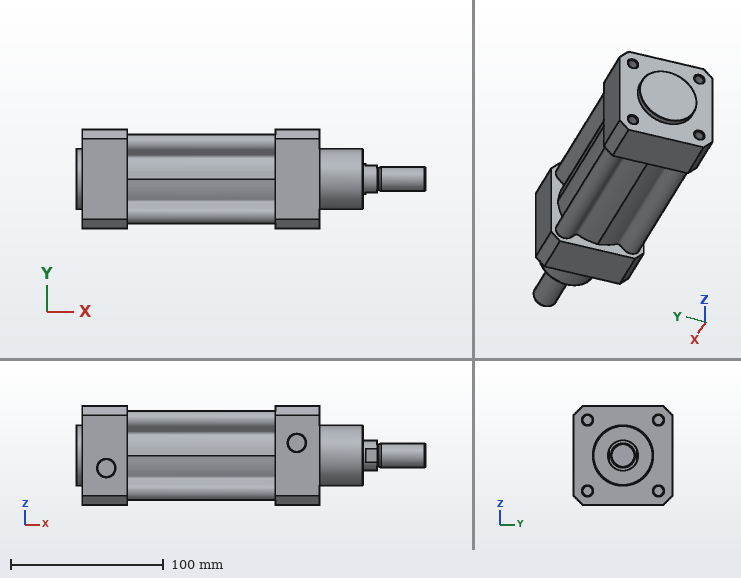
import cadquery as cq
import math


REAR_CAP_START = 4.0
REAR_CAP_END = 33.5
FRONT_CAP_START = 130.5
FRONT_CAP_END = 159.4
BOSS_END = 188.0
FLATS_START = 189.5
FLATS_END = 197.2
RELIEF_END = 198.3
THREAD_START = 199.7
ROD_END = 229.0

CAP_WIDTH = 65.0
CAP_CORNER_CHAMFER = 6.2
BOSS_RADIUS = 20.0
BOSS_CHAMFER = 0.7
SPIGOT_CHAMFER = 0.2

HOLE_SPACING = 46.5
HOLE_OFFSET = HOLE_SPACING / 2
HOLE_RADIUS = 3.2
HOLE_MOUTH_DIAMETER = 7.5
HOLE_MOUTH_RADIUS = HOLE_MOUTH_DIAMETER / 2
HOLE_LIP_DEPTH = 0.57
HOLE_DEPTH = 16.0

PORT_RADIUS = 5.7
PORT_MOUTH_RADIUS = 6.2
PORT_LIP_DEPTH = 0.7
PORT_DEPTH = 16.0
PORT_HEIGHT = 8.2
REAR_PORT_X = 19.7
FRONT_PORT_X = 144.5

BARREL_RADIUS = 27.5
RIDGE_ANGLE = 11.0
RIDGE_RADIUS = BARREL_RADIUS / math.cos(math.radians(RIDGE_ANGLE))
QUARTER = 90
LOBE_DIAMETER = 12.1
LOBE_RADIUS = LOBE_DIAMETER / 2
LOBE_FILLET = 2.0

ROD_DIAMETER = 20.0
ROD_RADIUS = ROD_DIAMETER / 2
FLATS_WIDTH = 17.9
RELIEF_RADIUS = 7.3
THREAD_RADIUS = 8.0
TIP_RADIUS = 7.3
TIP_CHAMFER_LENGTH = 1.1


def disc(start, end, radius):
    """Cylinder along X between two stations."""
    return cq.Workplane("YZ", origin=(start, 0, 0)).circle(radius).extrude(end - start)


def cap_block(start, end):
    """Square block with chamfered long corners."""
    block = cq.Workplane("YZ", origin=(start, 0, 0)).rect(CAP_WIDTH, CAP_WIDTH).extrude(end - start)
    return block.edges("|X").chamfer(CAP_CORNER_CHAMFER)


def countersunk_bore(mouth, direction, radius, depth, mouth_radius, lip_depth):
    """Cutter for a blind hole that widens in a conical lip at its mouth."""
    bore = cq.Solid.makeCylinder(radius, depth, mouth, direction)
    countersink = cq.Solid.makeCone(mouth_radius, radius, lip_depth, mouth, direction)
    return cq.Workplane(bore.fuse(countersink))


def cut_mounting_holes(cap, face_x, inward):
    """Cut the four corner holes into the outer face of a cap; inward is +1 or -1 along X."""
    for y in (-HOLE_OFFSET, HOLE_OFFSET):
        for z in (-HOLE_OFFSET, HOLE_OFFSET):
            mouth = cq.Vector(face_x, y, z)
            direction = cq.Vector(inward, 0, 0)
            hole = countersunk_bore(
                mouth, direction, HOLE_RADIUS, HOLE_DEPTH, HOLE_MOUTH_RADIUS, HOLE_LIP_DEPTH
            )
            cap = cap.cut(hole)
    return cap


def cut_port(cap, x, z):
    """Cut an air port into the -Y side of a cap."""
    mouth = cq.Vector(x, -CAP_WIDTH / 2, z)
    direction = cq.Vector(0, 1, 0)
    port = countersunk_bore(mouth, direction, PORT_RADIUS, PORT_DEPTH, PORT_MOUTH_RADIUS, PORT_LIP_DEPTH)
    return cap.cut(port)


def make_rear_cap():
    spigot = disc(0, REAR_CAP_START, BOSS_RADIUS).faces("<X").chamfer(SPIGOT_CHAMFER)
    cap = cap_block(REAR_CAP_START, REAR_CAP_END).union(spigot)
    cap = cut_mounting_holes(cap, REAR_CAP_START, 1)
    return cut_port(cap, REAR_PORT_X, -PORT_HEIGHT)


def make_front_cap():
    boss = disc(FRONT_CAP_END, BOSS_END, BOSS_RADIUS).faces(">X").chamfer(BOSS_CHAMFER)
    cap = cap_block(FRONT_CAP_START, FRONT_CAP_END).union(boss)
    cap = cut_mounting_holes(cap, FRONT_CAP_END, -1)
    return cut_port(cap, FRONT_PORT_X, PORT_HEIGHT)


def polar(radius, degrees):
    """Point at a radius and angle from the cylinder axis."""
    angle = math.radians(degrees)
    return (radius * math.cos(angle), radius * math.sin(angle))


def from_diagonal(diagonal, along, across):
    """Point at a distance along a lobe's diagonal and a distance across it."""
    offset_angle = math.degrees(math.atan2(across, along))
    return polar(math.hypot(along, across), diagonal + offset_angle)


def add_quarter(profile, start):
    """Add a quarter of the barrel outline, from the ridge at angle start to the next ridge.

    The quarter is symmetric about the diagonal of its corner lobe. Flats tangent to the barrel
    arcs meet in the ridges, and fillets join the arcs to the straight flanks of the lobe.
    """
    diagonal = start + QUARTER / 2
    end = start + QUARTER
    lobe_distance = HOLE_OFFSET * math.sqrt(2)
    lobe_tip = lobe_distance + LOBE_RADIUS

    fillet_distance = BARREL_RADIUS + LOBE_FILLET
    fillet_across = LOBE_RADIUS + LOBE_FILLET
    fillet_along = math.sqrt(fillet_distance**2 - fillet_across**2)
    fillet_swing = math.degrees(math.asin(fillet_across / fillet_distance))

    middle_along_step, middle_across_step = polar(LOBE_FILLET, (180 - fillet_swing + 90) / 2)
    middle_along = fillet_along + middle_along_step
    middle_across = fillet_across - middle_across_step

    arc_stop = QUARTER / 2 - fillet_swing
    arc_middle = (RIDGE_ANGLE + arc_stop) / 2
    return (
        profile.lineTo(*polar(BARREL_RADIUS, start + RIDGE_ANGLE))
        .threePointArc(polar(BARREL_RADIUS, start + arc_middle), polar(BARREL_RADIUS, start + arc_stop))
        .threePointArc(
            from_diagonal(diagonal, middle_along, -middle_across),
            from_diagonal(diagonal, fillet_along, -LOBE_RADIUS),
        )
        .lineTo(*from_diagonal(diagonal, lobe_distance, -LOBE_RADIUS))
        .threePointArc(polar(lobe_tip, diagonal), from_diagonal(diagonal, lobe_distance, LOBE_RADIUS))
        .lineTo(*from_diagonal(diagonal, fillet_along, LOBE_RADIUS))
        .threePointArc(
            from_diagonal(diagonal, middle_along, middle_across),
            polar(BARREL_RADIUS, end - arc_stop),
        )
        .threePointArc(polar(BARREL_RADIUS, end - arc_middle), polar(BARREL_RADIUS, end - RIDGE_ANGLE))
        .lineTo(*polar(RIDGE_RADIUS, end))
    )


def make_barrel():
    """Extruded barrel with a lobe at each corner and a ridge along the middle of each side."""
    profile = cq.Workplane("YZ", origin=(REAR_CAP_END, 0, 0)).moveTo(RIDGE_RADIUS, 0)
    for quarter in range(4):
        profile = add_quarter(profile, quarter * QUARTER)
    return profile.close().extrude(FRONT_CAP_START - REAR_CAP_END)


def make_rod():
    """Turned rod with two wrench flats, a relief groove and a threaded end."""
    rod = (
        cq.Workplane("XY")
        .moveTo(BOSS_END, 0)
        .lineTo(BOSS_END, ROD_RADIUS)
        .lineTo(FLATS_END, ROD_RADIUS)
        .lineTo(FLATS_END, RELIEF_RADIUS)
        .lineTo(RELIEF_END, RELIEF_RADIUS)
        .lineTo(THREAD_START, THREAD_RADIUS)
        .lineTo(ROD_END - TIP_CHAMFER_LENGTH, THREAD_RADIUS)
        .lineTo(ROD_END, TIP_RADIUS)
        .lineTo(ROD_END, 0)
        .close()
        .revolve(360, (0, 0, 0), (1, 0, 0))
    )
    flats_length = FLATS_END - FLATS_START
    for side in (-1, 1):
        centre = (FLATS_START + flats_length / 2, side * (FLATS_WIDTH + ROD_RADIUS) / 2, 0)
        cutter = cq.Workplane("XY").box(flats_length, ROD_RADIUS, 2 * ROD_RADIUS)
        rod = rod.cut(cutter.translate(centre))
    return rod


rear_cap = make_rear_cap()
barrel = make_barrel()
front_cap = make_front_cap()
rod = make_rod()

result = cq.Compound.makeCompound([rear_cap.val(), barrel.val(), front_cap.val(), rod.val()])